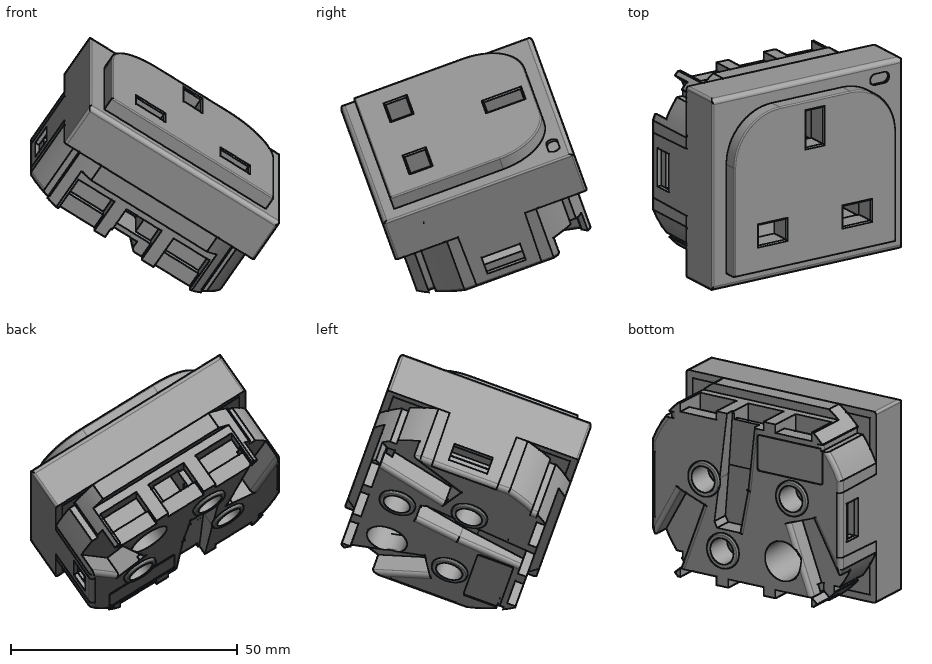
import cadquery as cq

cover_width = 50.0
cover_height = 44.9
cover_depth = 10.35
cover_wall = 1.7
corner_round = 0.6
long_edge_round = 1.1
side_edge_round = 0.4

plateau_height = 3.2
plateau_width = 42.6
plateau_bottom = -18.95
plateau_top = 18.65
plateau_corner = 12.0
plateau_edge_round = 0.3

pin_pitch_x = 11.15
live_row_y = -10.45
flat_slot = (7.3, 4.8)
earth_slot = (4.5, 8.6)
earth_y = 11.95
slot_lead_in = 0.35
pin_slots = [
    (-pin_pitch_x, live_row_y, *flat_slot),
    (pin_pitch_x, live_row_y, *flat_slot),
    (0.0, earth_y, *earth_slot),
]

lamp_centre = (19.15, 18.7)
lamp_length = 5.0
lamp_width = 2.6
lamp_depth = 0.6

tab_thickness = 1.0
tab_half_top = 7.85
tab_half_bottom = 7.6
tab_window_width = 9.0
tab_window_top = -7.2
tab_window_bottom = -11.7

housing_depth = 14.2
housing_radius = 27.1
back_round = 1.0
flange_half_height = 22.4
flange_depth = 4.1
body_half_height = 20.4
corner_step_x = 20.0
corner_step_y = 16.5
corner_step_height = 1.5

rib_inner = 4.65
rib_outer = 7.8
bay_end = 17.3
bay_depth = 2.0
bay_top = -6.1
bay_sill = -10.6
bay_spans = [(-bay_end, -rib_outer), (-rib_inner, rib_inner), (rib_outer, bay_end)]

chamber_margin = 1.0
chamber_divider_x = 0.7

latch_pocket_depth = 2.5
latch_ramp_start = -8.3
latch_crest_top = -9.8

screw_centres = [(-5.9, 11.9), (-10.85, -4.0), (12.3, -4.0)]
boss_radius = 4.1
boss_height = 0.65
boss_edge = 0.25
screw_hole_radius = 3.05
screw_hole_depth = 6.0
cable_hole_centre = (9.7, 11.3)
cable_hole_radius = 4.65
cable_hole_depth = 12.0

corner_channel_depth = 5.0
corner_channel = [
    (17.5, -0.3),
    (11.3, 2.0),
    (17.4, 18.3),
    (18.8, 19.6),
    (30.0, 22.0),
    (30.0, 12.3),
    (24.5, 12.3),
]
middle_channel = [(-8.3, 5.5), (-7.6, 6.9), (-1.9, 6.9), (0.2, -3.5), (2.2, -21.0), (-4.9, -21.0), (-6.9, -5.0)]
middle_depth_inner = 4.5
middle_depth_outer = 2.2
channel_edge_round = 1.0
channel_overrun = 1.0

label_centre = (11.6, -12.85)
label_width = 17.1
label_height = 8.4
label_depth = 0.2
label_corner = 0.5

turn_about_y = 33.3
tilt_about_x = 20.0
centre_shift = (1.2, 0.85, 0.08)

big = 100.0
back_z = -housing_depth
cover_inner_depth = cover_depth - cover_wall
face_z = cover_depth + plateau_height


def block(x0, x1, y0, y1, z0, z1):
    """Box given by its limits along each axis."""
    return cq.Workplane("XY").box(x1 - x0, y1 - y0, z1 - z0, centered=False).translate((x0, y0, z0))


def prism(points, z0, z1):
    """Straight prism over a polygon."""
    return cq.Workplane("XY").workplane(offset=z0).polyline(points).close().extrude(z1 - z0)


def both_sides(shape):
    """The shape together with its mirror image across x = 0."""
    return shape.union(shape.mirror("YZ"))


def round_outline(half_height, z0, z1):
    """Disc trimmed to the cover width and to a height, with stepped corners."""
    disc = cq.Workplane("XY").workplane(offset=z0).circle(housing_radius).extrude(z1 - z0)
    half_width = cover_width / 2
    outline = disc.intersect(block(-half_width, half_width, -half_height, half_height, z0, z1))
    step = block(corner_step_x, big, corner_step_y, corner_step_y + corner_step_height, z0, z1)
    steps = both_sides(step)
    return outline.cut(steps).cut(steps.mirror("XZ"))


def housing_envelope():
    """Rounded-back body with the wider flange behind the cover."""
    body = round_outline(body_half_height, back_z, 0)
    rounded = body.faces("<Z").edges("not(#Y)").edges("not(<Y or >Y)").fillet(back_round)
    flange = round_outline(flange_half_height, -flange_depth, 0)
    return rounded.union(flange)


def tab_region():
    """Slightly tapering slot that the left snap tab fills."""
    outer = -cover_width / 2 - 1.0
    inner = -cover_width / 2 + tab_thickness
    sides = [
        (-tab_half_top, 0),
        (tab_half_top, 0),
        (tab_half_bottom, back_z),
        (-tab_half_bottom, back_z),
    ]
    return cq.Workplane("YZ").workplane(offset=outer).polyline(sides).close().extrude(inner - outer)


def front_edge_trim(plane, radius):
    """Cutter that rounds a front edge lying along the plane's normal, at the plane's origin."""
    corner = cq.Workplane(plane).center(-radius / 2, cover_depth - radius / 2).rect(radius, radius)
    roller = cq.Workplane(plane).center(-radius, cover_depth - radius).circle(radius)
    return corner.extrude(big, both=True).cut(roller.extrude(big, both=True))


def cover_frame():
    """Square frame with rounded corners and rounded front edges."""
    frame = cq.Workplane("XY").box(cover_width, cover_height, cover_depth, centered=(True, True, False))
    frame = frame.edges("|Z").fillet(corner_round)
    long_trim = front_edge_trim("YZ", long_edge_round).translate((0, cover_height / 2, 0))
    side_trim = front_edge_trim("XZ", side_edge_round).translate((cover_width / 2, 0, 0))
    frame = frame.cut(long_trim).cut(long_trim.mirror("XZ"))
    return frame.cut(side_trim).cut(side_trim.mirror("YZ"))


def plateau():
    """Raised pad around the pin slots, with two large upper corners."""
    height = plateau_top - plateau_bottom
    centre_y = (plateau_top + plateau_bottom) / 2
    pad = (
        cq.Workplane("XY")
        .workplane(offset=cover_depth - plateau_edge_round)
        .center(0, centre_y)
        .rect(plateau_width, height)
        .extrude(plateau_height + plateau_edge_round)
    )
    pad = pad.edges("|Z and >Y").fillet(plateau_corner)
    return pad.faces(">Z").edges().fillet(plateau_edge_round)


def pin_slot(x, y, width, height):
    """Slot through the face with a chamfered lead-in."""
    slot = cq.Workplane("XY").center(x, y).rect(width, height).extrude(face_z)
    mouth = (
        cq.Workplane("XY")
        .workplane(offset=face_z)
        .center(x, y)
        .rect(width + 2 * slot_lead_in, height + 2 * slot_lead_in)
        .extrude(-slot_lead_in, taper=45)
    )
    return slot.union(mouth)


def inner_recess():
    """Recess in the back of the cover, filled by the housing."""
    half_w = cover_width / 2 - cover_wall
    half_h = cover_height / 2 - cover_wall
    return block(-half_w, half_w, -half_h, half_h, 0, cover_inner_depth)


def tab_window():
    """Window through the left tab."""
    half = tab_window_width / 2
    return block(-big, -cover_width / 2 + tab_thickness, -half, half, tab_window_bottom, tab_window_top)


def lamp_recess():
    return (
        cq.Workplane("XY")
        .workplane(offset=cover_depth - lamp_depth)
        .center(*lamp_centre)
        .slot2D(lamp_length, lamp_width)
        .extrude(lamp_depth)
    )


def build_cover(envelope):
    cover = cover_frame().union(plateau()).cut(inner_recess())
    for slot in pin_slots:
        cover = cover.cut(pin_slot(*slot))
    tab = envelope.intersect(tab_region()).cut(tab_window())
    return cover.cut(lamp_recess()).union(both_sides(tab))


def side_bays():
    """Recesses of the lower wall: open at the back, deeper above the sill."""
    inner_y = -body_half_height + bay_depth
    bays = cq.Workplane("XY")
    for x0, x1 in bay_spans:
        bays = bays.add(block(x0, x1, -body_half_height, inner_y, back_z, bay_top))
        bays = bays.add(block(x0, x1, inner_y, inner_y + bay_depth, bay_sill, bay_top))
    return bays.combine()


def contact_chambers():
    """Chambers under the pin slots, the live one opening into the middle bay."""
    row_half = flat_slot[1] / 2 + chamber_margin
    row_bottom = live_row_y - row_half
    row_top = live_row_y + row_half
    chambers = block(-pin_pitch_x, chamber_divider_x, row_bottom, row_top, bay_sill, cover_inner_depth)
    chambers = chambers.union(
        block(-rib_inner, chamber_divider_x, -body_half_height, row_top, bay_sill, bay_top)
    )
    for x, y, width, height in pin_slots:
        half_w = width / 2 + chamber_margin
        half_h = height / 2 + chamber_margin
        room = block(x - half_w, x + half_w, y - half_h, y + half_h, bay_sill, cover_inner_depth)
        chambers = chambers.union(room)
    return chambers


def latch_pocket():
    """Pocket behind the left tab window, leaving a ramped catch."""
    outer = -cover_width / 2 + tab_thickness
    inner = outer + latch_pocket_depth
    profile = [
        (outer, tab_window_top),
        (inner, tab_window_top),
        (inner, latch_ramp_start),
        (outer, latch_crest_top),
    ]
    return cq.Workplane("XZ").polyline(profile).close().extrude(tab_window_width / 2, both=True)


def rim_rounding(start, end):
    """Cutter that rounds the back edge from start to end, with the solid on the left-hand side."""
    along = cq.Vector(end[0] - start[0], end[1] - start[1], 0)
    left = cq.Vector(-along.y, along.x, 0).normalized()
    section = cq.Plane(origin=(start[0], start[1], back_z), xDir=left, normal=along)
    r = channel_edge_round
    square = cq.Workplane(section).rect(2 * r, 2 * r).extrude(along.Length)
    round_bars = cq.Workplane(section).pushPoints([(r, r), (r, -r)]).circle(r).extrude(along.Length)
    return square.cut(round_bars)


def corner_wire_channel():
    """Channel that opens at the upper right corner, with two rounded rims."""
    channel = prism(corner_channel, back_z - channel_overrun, back_z + corner_channel_depth)
    channel = channel.union(rim_rounding(corner_channel[1], corner_channel[2]))
    return channel.union(rim_rounding(corner_channel[-1], corner_channel[0]))


def middle_wire_channel():
    """Channel that gets shallower towards the lower wall, with a rounded right rim."""
    plan = prism(middle_channel, back_z - channel_overrun, back_z + middle_depth_inner)
    top_y = middle_channel[1][1]
    bottom_y = middle_channel[4][1]
    profile = [
        (top_y, back_z - channel_overrun),
        (top_y, back_z + middle_depth_inner),
        (bottom_y, back_z + middle_depth_outer),
        (bottom_y, back_z - channel_overrun),
    ]
    floor = cq.Workplane("YZ").polyline(profile).close().extrude(big, both=True)
    channel = plan.intersect(floor)
    for start, end in zip(middle_channel[2:4], middle_channel[3:5]):
        channel = channel.union(rim_rounding(start, end))
    return channel


def screw_boss(x, y):
    """Low round collar on the back."""
    boss = cq.Workplane("XY").workplane(offset=back_z).center(x, y).circle(boss_radius).extrude(-boss_height)
    return boss.faces("<Z").edges().fillet(boss_edge)


def back_hole(x, y, radius, depth):
    """Blind hole from the back, its depth measured from the back plane."""
    start = back_z - boss_height
    return cq.Workplane("XY").workplane(offset=start).center(x, y).circle(radius).extrude(depth + boss_height)


def label_recess():
    recess = (
        cq.Workplane("XY")
        .workplane(offset=back_z)
        .center(*label_centre)
        .rect(label_width, label_height)
        .extrude(label_depth)
    )
    return recess.edges("|Z").fillet(label_corner)


def build_housing(envelope):
    housing = envelope.cut(both_sides(tab_region()))
    housing = housing.union(inner_recess())
    bays = side_bays()
    housing = housing.cut(bays).cut(bays.mirror("XZ"))
    housing = housing.cut(both_sides(latch_pocket()))
    housing = housing.cut(both_sides(corner_wire_channel())).cut(middle_wire_channel())
    for x, y in screw_centres:
        housing = housing.union(screw_boss(x, y))
    for x, y in screw_centres:
        housing = housing.cut(back_hole(x, y, screw_hole_radius, screw_hole_depth))
    housing = housing.cut(back_hole(*cable_hole_centre, cable_hole_radius, cable_hole_depth))
    return housing.cut(label_recess()).cut(contact_chambers())


def place(body):
    """Move a body from the upright to the tilted position."""
    moved = body.translate(centre_shift)
    turned = moved.rotate((0, 0, 0), (0, 1, 0), turn_about_y)
    return turned.rotate((0, 0, 0), (1, 0, 0), tilt_about_x)


envelope = housing_envelope()
cover = place(build_cover(envelope))
housing = place(build_housing(envelope))
result = cq.Compound.makeCompound([*cover.vals(), *housing.vals()])